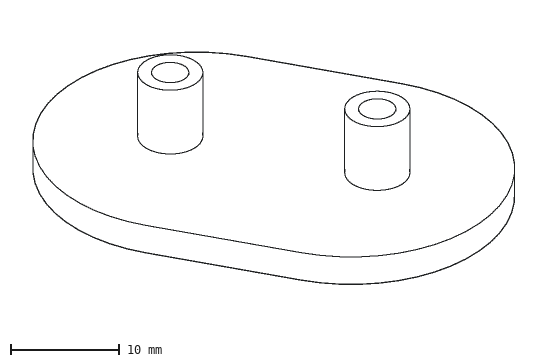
import cadquery as cq

plate_length = 45.0
plate_width = 30.0
plate_thickness = 3.0
total_height = 10.0
boss_diameter = 6.0
hole_diameter = 3.4
boss_spacing = 20.0

boss_centers = [(-boss_spacing / 2, 0), (boss_spacing / 2, 0)]

plate = cq.Workplane("XY").slot2D(plate_length, plate_width).extrude(plate_thickness)

bosses = (
    cq.Workplane("XY")
    .pushPoints(boss_centers)
    .circle(boss_diameter / 2)
    .extrude(total_height)
)

holes = (
    cq.Workplane("XY")
    .pushPoints(boss_centers)
    .circle(hole_diameter / 2)
    .extrude(total_height)
)

result = plate.union(bosses).cut(holes)